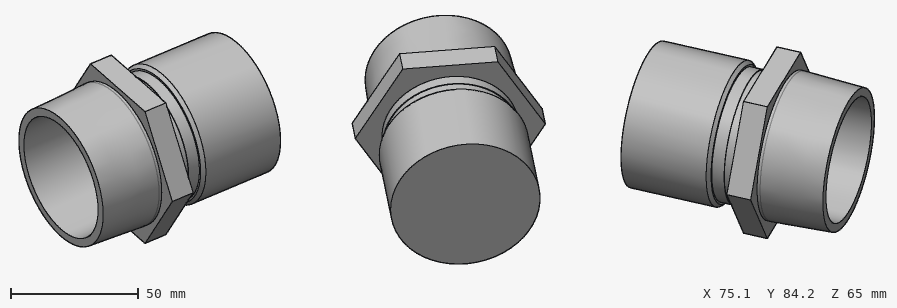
import cadquery as cq
import math

total_length = 84.2
hex_across_flats = 65.0
hex_across_corners = hex_across_flats * 2 / math.sqrt(3)

bore_diameter = 51.0
taper_tip_diameter = 58.1
taper_base_diameter = 60.5
front_neck_diameter = 54.0
rear_neck_diameter = 54.5
chamfer_diameter = 56.2
socket_diameter = 59.0

taper_length = 25.8
collar_length = 1.3
hex_thickness = 9.9
front_neck_length = 5.0
rear_neck_length = 5.1
chamfer_length = 1.5

hex_start = taper_length + collar_length
hex_end = hex_start + hex_thickness
neck_step = hex_end + front_neck_length
chamfer_start = neck_step + rear_neck_length
socket_start = chamfer_start + chamfer_length

bore_depth = neck_step

front_y = -total_length / 2


def make_turned_body():
    """Tapered end, collar, stepped neck and chamfered socket in one revolve."""
    half_profile = [
        (0, 0),
        (taper_tip_diameter / 2, 0),
        (taper_base_diameter / 2, taper_length),
        (taper_base_diameter / 2, hex_start),
        (front_neck_diameter / 2, hex_start),
        (front_neck_diameter / 2, neck_step),
        (rear_neck_diameter / 2, neck_step),
        (rear_neck_diameter / 2, chamfer_start),
        (chamfer_diameter / 2, chamfer_start),
        (socket_diameter / 2, socket_start),
        (socket_diameter / 2, total_length),
        (0, total_length),
    ]
    body = cq.Workplane("XY").polyline(half_profile).close().revolve(360, (0, 0, 0), (0, 1, 0))
    return body.translate((0, front_y, 0))


def extrude_along_y(sketch_plane, length):
    """Extrude toward +Y from an XZ workplane, whose normal is -Y."""
    return sketch_plane.extrude(-length)


def make_hex_flange():
    """Wrench hexagon with corners on the X axis."""
    plane = cq.Workplane("XZ", origin=(0, front_y + hex_start, 0))
    return extrude_along_y(plane.polygon(6, hex_across_corners), hex_thickness)


def make_bore():
    plane = cq.Workplane("XZ", origin=(0, front_y, 0))
    return extrude_along_y(plane.circle(bore_diameter / 2), bore_depth)


result = make_turned_body().union(make_hex_flange()).cut(make_bore())